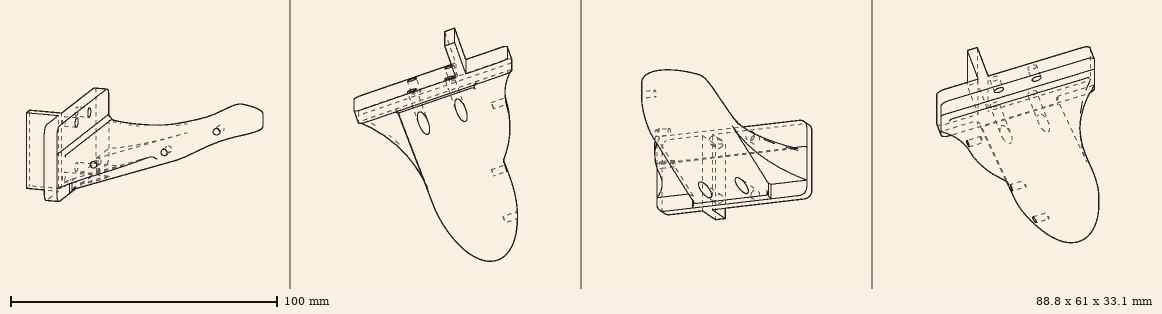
import cadquery as cq
import math

PLATE_BACK = 12.7
PLATE_THICKNESS = 5.1
PLATE_FRONT = PLATE_BACK + PLATE_THICKNESS
PLATE_WIDTH = 61.0
PLATE_HEIGHT = 29.5
PLATE_CORNER_RADIUS = 3.0

FIN_THICKNESS = 4.0
FIN_CENTER_Y = -12.0

SCREW_DIAMETER = 3.55
SCREW_SPACING_Y = 14.9
SCREW_SPACING_Z = 21.6
SCREW_DEPTH = 22.2

TIP_X = 88.8
TONGUE_HALF_WIDTH = 15.2
TIP_START_X = 58.9
FLARE_END_X = 53.8
WING_END_X = 51.9
WING_HOLLOW_MIDDLE = (22.55, -26.55)
WING_BEND = (30.1, -23.9)
WING_BULGE_MIDDLE = (42.8, -21.0)

TOP_Z = 33.1
FLAT_TOP_START_X = 77.6
TOP_CURVE = [(73.3, 32.0), (65.9, 27.8), (58.5, 24.8), (51.5, 22.7), (32.8, 19.5)]
TOP_ROOT_SLOPE = 0.12
UNDERSIDE_SLOPE = math.tan(math.radians(20))
UNDERSIDE_CURVE = [(69.2, 21.1), (76.55, 24.5), (TIP_X, 27.1)]
UNDERSIDE_TIP_SLOPE = 0.13
UNDERSIDE_START = (18.7, 1.3)
WING_LIFT = 4.7
TOP_RAMP_FOOT = (PLATE_FRONT + 2.1, 17.9)
TOP_RAMP_HEAD = (PLATE_FRONT, 19.0)
ROOT_CHAMFER = 0.8
EDGE_RADIUS = 1.0
WING_ROOT_RADIUS = 2.3

FACING_LIMIT = 0.5

PIN_DIAMETER = 2.5
PIN_DEPTH = 5.3
PIN_HOLES = [
    (30.0, 14.4, WING_BEND[1]),
    (55.1, 19.1, -TONGUE_HALF_WIDTH),
    (75.0, 28.3, -12.8),
]


def underside_z(x):
    """Height of the straight, sloping part of the underside."""
    return UNDERSIDE_START[1] + (x - UNDERSIDE_START[0]) * UNDERSIDE_SLOPE


def plate():
    return (
        cq.Workplane("YZ", origin=(PLATE_BACK, 0, PLATE_HEIGHT / 2))
        .rect(PLATE_WIDTH, PLATE_HEIGHT)
        .extrude(PLATE_THICKNESS)
        .edges("|X")
        .fillet(PLATE_CORNER_RADIUS)
    )


def fin():
    return cq.Workplane("XY", origin=(0, FIN_CENTER_Y, 0)).box(
        PLATE_BACK, FIN_THICKNESS, PLATE_HEIGHT, centered=(False, True, False)
    )


def screw_holes():
    """Drills along X through the plate; the lower pair also breaks out of the sloping underside."""
    return (
        cq.Workplane("YZ", origin=(PLATE_BACK, 0, PLATE_HEIGHT / 2))
        .rarray(SCREW_SPACING_Y, SCREW_SPACING_Z, 2, 2)
        .circle(SCREW_DIAMETER / 2)
        .extrude(SCREW_DEPTH)
    )


def side_profile():
    """Side shape of the tongue: S-curved top and bottom, swept across the full plate width."""
    return (
        cq.Workplane("XZ", origin=(0, PLATE_WIDTH / 2, 0))
        .moveTo(PLATE_FRONT, 0)
        .lineTo(*UNDERSIDE_START)
        .lineTo(TIP_START_X, underside_z(TIP_START_X))
        .spline(
            UNDERSIDE_CURVE,
            tangents=[(1, UNDERSIDE_SLOPE), (1, UNDERSIDE_TIP_SLOPE)],
            includeCurrent=True,
        )
        .lineTo(TIP_X, TOP_Z)
        .lineTo(FLAT_TOP_START_X, TOP_Z)
        .spline(
            TOP_CURVE,
            tangents=[(-1, 0), (-1, -TOP_ROOT_SLOPE)],
            includeCurrent=True,
        )
        .lineTo(*TOP_RAMP_FOOT)
        .lineTo(*TOP_RAMP_HEAD)
        .close()
        .extrude(PLATE_WIDTH)
    )


def body_plan():
    """Straight-sided tongue with a half-elliptical tip and a small chamfer against the plate."""
    return (
        cq.Workplane("XY")
        .moveTo(PLATE_FRONT, -TONGUE_HALF_WIDTH - ROOT_CHAMFER)
        .lineTo(PLATE_FRONT + ROOT_CHAMFER, -TONGUE_HALF_WIDTH)
        .lineTo(TIP_START_X, -TONGUE_HALF_WIDTH)
        .ellipseArc(TIP_X - TIP_START_X, TONGUE_HALF_WIDTH, -90, 90, startAtCurrent=True)
        .lineTo(PLATE_FRONT + ROOT_CHAMFER, TONGUE_HALF_WIDTH)
        .lineTo(PLATE_FRONT, TONGUE_HALF_WIDTH + ROOT_CHAMFER)
        .close()
        .extrude(TOP_Z)
    )


def plus_wing_plan():
    """Wing on the +Y side: one hollow arc from the plate edge, tangent to the straight side."""
    run = FLARE_END_X - PLATE_FRONT
    rise = PLATE_WIDTH / 2 - TONGUE_HALF_WIDTH
    flare_radius = (run**2 + rise**2) / (2 * rise)
    half_angle = math.asin(run / flare_radius) / 2
    flare_middle = (
        FLARE_END_X - flare_radius * math.sin(half_angle),
        TONGUE_HALF_WIDTH + flare_radius * (1 - math.cos(half_angle)),
    )
    return (
        cq.Workplane("XY")
        .moveTo(PLATE_FRONT, TONGUE_HALF_WIDTH)
        .lineTo(FLARE_END_X, TONGUE_HALF_WIDTH)
        .threePointArc(flare_middle, (PLATE_FRONT, PLATE_WIDTH / 2))
        .close()
        .extrude(TOP_Z)
    )


def minus_wing_plan():
    """Wing on the -Y side: a hollow curve off the plate, then a bulging curve into the straight side."""
    return (
        cq.Workplane("XY")
        .moveTo(PLATE_FRONT, -PLATE_WIDTH / 2)
        .threePointArc(WING_HOLLOW_MIDDLE, WING_BEND)
        .threePointArc(WING_BULGE_MIDDLE, (WING_END_X, -TONGUE_HALF_WIDTH))
        .lineTo(PLATE_FRONT, -TONGUE_HALF_WIDTH)
        .close()
        .extrude(TOP_Z)
    )


def above_wing_underside():
    """Space above a plane parallel to the straight underside, where the wings end."""
    return (
        cq.Workplane("XZ", origin=(0, PLATE_WIDTH / 2, 0))
        .moveTo(PLATE_FRONT, underside_z(PLATE_FRONT) + WING_LIFT)
        .lineTo(TIP_X, underside_z(TIP_X) + WING_LIFT)
        .lineTo(PLATE_FRONT, TIP_X)
        .close()
        .extrude(PLATE_WIDTH)
    )


def round_wing_root(blank):
    """Hollow fillet where the -Y wing meets the straight side, along its underside and up its end."""
    near = (PLATE_FRONT - EDGE_RADIUS, -TONGUE_HALF_WIDTH - EDGE_RADIUS, underside_z(PLATE_FRONT) + WING_LIFT / 2)
    far = (WING_END_X + EDGE_RADIUS, -TONGUE_HALF_WIDTH + EDGE_RADIUS, TOP_Z)
    return blank.edges(cq.selectors.BoxSelector(near, far, boundingbox=True)).fillet(WING_ROOT_RADIUS)


def round_edges_along_x(blank, faces):
    """Rounds the rim of the faces from the plate to the tip; a fixed edge order keeps the fillet repeatable."""
    rim = sorted(faces.edges("not |Y").vals(), key=lambda edge: (edge.Center().x, edge.Center().y))
    return blank.newObject(rim).fillet(EDGE_RADIUS)


def round_top_rim(blank):
    top_faces = blank.faces().filter(lambda face: face.normalAt().z > FACING_LIMIT)
    return round_edges_along_x(blank, top_faces)


def round_bottom_rim(blank):
    """Rounds the underside rim of the body, leaving the wing undersides and the root chamfer sharp."""

    def is_body_underside(face):
        center = face.Center()
        return (
            face.normalAt().z < -FACING_LIMIT
            and center.x > UNDERSIDE_START[0]
            and center.z < underside_z(center.x) + WING_LIFT / 2
        )

    bottom_faces = blank.faces().filter(is_body_underside)
    return round_edges_along_x(blank, bottom_faces)


def tongue():
    wings = minus_wing_plan().union(plus_wing_plan()).intersect(above_wing_underside())
    blank = body_plan().union(wings).intersect(side_profile())
    return round_bottom_rim(round_top_rim(round_wing_root(blank)))


def pin_holes():
    holes = cq.Workplane("XY")
    for x, z, wall_y in PIN_HOLES:
        drill = (
            cq.Workplane("XZ", origin=(x, wall_y + PIN_DEPTH, z))
            .circle(PIN_DIAMETER / 2)
            .extrude(2 * PIN_DEPTH)
        )
        holes = holes.add(drill)
    return holes.combine()


result = plate().union(fin()).union(tongue()).cut(screw_holes()).cut(pin_holes())